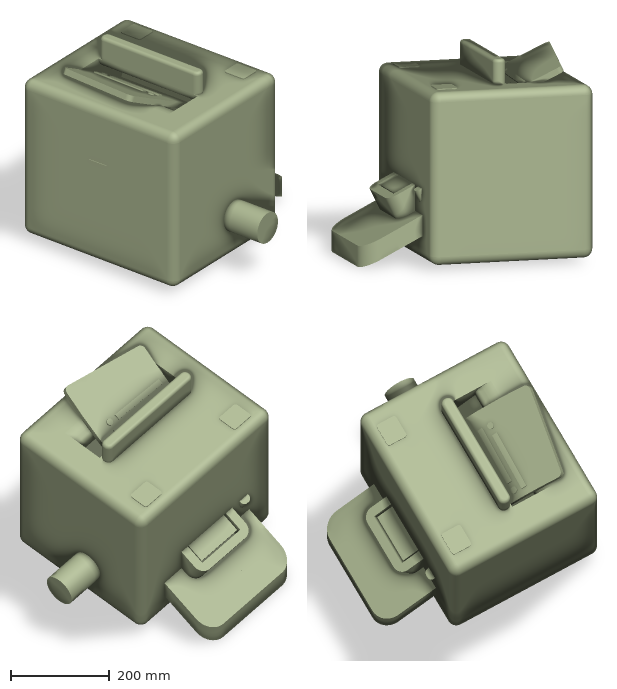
import cadquery as cq
import math


SLOPE_ANGLE = math.atan(0.5)
RISE = math.sin(SLOPE_ANGLE)
RUN = math.cos(SLOPE_ANGLE)

HOUSING_WIDTH = 394.0
HOUSING_DEPTH = 343.0
HOUSING_HEIGHT = 355.5
HOUSING_ROUND = 18.5

OPENING_WIDTH = 254.5
PLATE_THICKNESS = 25.5
PLATE_CENTER_Y = 6.5
PLATE_RISE = 51.0
PLATE_END_ROUND = 12.0
PLATE_TOP_ROUND = 6.5
FOOT_ROUND = 22.0

SLOPE_START_Y = -89.0
LIP_FRONT_Y = -100.2
LIP_INNER_Y = -64.0
LIP_INNER_ROUND = 12.5
SLOT_FLOOR_DROP = 24
SLOT_END_Y = 57.5

CARD_THICKNESS = 13.0
CARD_CORNER_ROUND = 11.5
CARD_FRONT_LEFT = (-128.0, -43)
CARD_FRONT_RIGHT = (71.5, -80.5)
CARD_MIDDLE_LEFT = (-119.0, 21.5)
CARD_MIDDLE_RIGHT = (85.5, 21.5)
CARD_REAR_LEFT = (-111.0, 112.0)
CARD_REAR_RIGHT = (91, 112.0)
CARD_RELIEF = 3.0
STRIPE_LENGTH = 127.5
STRIPE_HEIGHT = 12.0
STRIPE_SKEW = 4.0
STRIPE_STARTS = [(-76.0, 66.0), (-101.5, 44.5)]
DOT_DIAMETER = 14.0
DOT_CENTERS = [(-94.0, 60.5), (45.0, 33.0)]

TRAY_OVERHANG = 125.5
TRAY_THICKNESS = 39.0
TRAY_END_TOP_Z = 31.5
TRAY_CORNER_ROUND = 39.5
TRAY_LENGTH = 278

STRIP_WIDTH = 44.5
STRIP_THICKNESS = 32.0
STRIP_PROTRUSION = 0.5

FRAME_SIZE = 152.5
FRAME_HEIGHT = 48.5
FRAME_ROUND = 23.0
FRAME_DISTANCE = 101.0
FRAME_WALL = 19
POCKET_DEPTH = 31.0
BLOCK_GAP = 4.0
BLOCK_RECESS = 4.0
STUD_WIDTH = 25.5
STUD_LENGTH = 57.5
STUD_ROUND = 10.5
STUD_CENTER_X = -111.0
STUD_DISTANCE = 151.5

KNOB_DIAMETER = 68.0
KNOB_LENGTH = 86.0
KNOB_CENTER_Y = 25.0
KNOB_CENTER_Z = 90.0

BUTTON_WIDTH = 51.0
BUTTON_DEPTH = 44.5
BUTTON_HEIGHT = 2.5
BUTTON_ROUND = 5.8
BUTTON_OFFSET_X = 133.5
BUTTON_CENTER_Y = 127.0

FRONT_Y = -HOUSING_DEPTH / 2
PLATE_FRONT_Y = PLATE_CENTER_Y - PLATE_THICKNESS / 2
PLATE_REAR_Y = PLATE_CENTER_Y + PLATE_THICKNESS / 2
CEILING_START_Y = PLATE_FRONT_Y + FOOT_ROUND * (1 - RISE)
CEILING_START_Z = HOUSING_HEIGHT - FOOT_ROUND * RUN
TRAY_END_Y = HOUSING_DEPTH / 2 + TRAY_OVERHANG


def slope_height(y, start_y, start_z):
    """Height at y of a sloping plane that passes through (start_y, start_z)."""
    return start_z - (y - start_y) * math.tan(SLOPE_ANGLE)


def slope_plane(y, z):
    """Workplane on the slope: local x is X, local y points down the slope to the rear."""
    return cq.Workplane(cq.Plane(origin=(0, y, z), xDir=(1, 0, 0), normal=(0, RISE, RUN)))


def side_profile(width):
    """Workplane for a (Y, Z) outline to be extruded by the given width, centred on X = 0."""
    return cq.Workplane("YZ", origin=(-width / 2, 0, 0))


def foot_round_middle():
    """Middle point of the arc that rounds the lower front edge of the plate's foot."""
    half_turn = (math.pi / 2 - SLOPE_ANGLE) / 2
    return (
        PLATE_FRONT_Y + FOOT_ROUND * (1 - math.cos(half_turn)),
        HOUSING_HEIGHT - FOOT_ROUND * math.sin(half_turn),
    )


def make_plate():
    foot_bottom_z = slope_height(PLATE_REAR_Y, CEILING_START_Y, CEILING_START_Z)
    foot = (
        side_profile(OPENING_WIDTH)
        .moveTo(PLATE_FRONT_Y, HOUSING_HEIGHT)
        .threePointArc(foot_round_middle(), (CEILING_START_Y, CEILING_START_Z))
        .lineTo(PLATE_REAR_Y, foot_bottom_z)
        .lineTo(PLATE_REAR_Y, HOUSING_HEIGHT)
        .close()
        .extrude(OPENING_WIDTH)
    )
    blade = (
        cq.Workplane("XY", origin=(0, PLATE_CENTER_Y, HOUSING_HEIGHT))
        .rect(OPENING_WIDTH, PLATE_THICKNESS)
        .extrude(PLATE_RISE)
        .edges("|Z")
        .fillet(PLATE_END_ROUND)
        .faces(">Z")
        .edges()
        .fillet(PLATE_TOP_ROUND)
    )
    return foot.union(blade)


def make_card():
    body = (
        slope_plane(SLOPE_START_Y, HOUSING_HEIGHT)
        .moveTo(*CARD_FRONT_LEFT)
        .lineTo(*CARD_FRONT_RIGHT)
        .threePointArc(CARD_MIDDLE_RIGHT, CARD_REAR_RIGHT)
        .lineTo(*CARD_REAR_LEFT)
        .threePointArc(CARD_MIDDLE_LEFT, CARD_FRONT_LEFT)
        .close()
        .extrude(CARD_THICKNESS)
        .edges(cq.selectors.ParallelDirSelector(cq.Vector(0, RISE, RUN)))
        .fillet(CARD_CORNER_ROUND)
    )
    top = slope_plane(SLOPE_START_Y, HOUSING_HEIGHT).workplane(offset=CARD_THICKNESS)
    for x, y in STRIPE_STARTS:
        corners = [
            (x, y),
            (x + STRIPE_LENGTH, y - STRIPE_SKEW),
            (x + STRIPE_LENGTH, y - STRIPE_SKEW - STRIPE_HEIGHT),
            (x, y - STRIPE_HEIGHT),
        ]
        body = body.union(top.polyline(corners).close().extrude(CARD_RELIEF))
    dots = top.pushPoints(DOT_CENTERS).circle(DOT_DIAMETER / 2).extrude(CARD_RELIEF)
    return body.union(dots)


def make_tray_slab():
    """Sloping slab with an upright, round-cornered rear end and a square inner end."""
    inner_top_y = TRAY_END_Y - TRAY_LENGTH * RUN
    inner_top_z = TRAY_END_TOP_Z + TRAY_LENGTH * RISE
    outline = [
        (TRAY_END_Y, TRAY_END_TOP_Z),
        (inner_top_y, inner_top_z),
        (inner_top_y - TRAY_THICKNESS * RISE, inner_top_z - TRAY_THICKNESS * RUN),
        (TRAY_END_Y, TRAY_END_TOP_Z - TRAY_THICKNESS / RUN),
    ]
    return (
        side_profile(OPENING_WIDTH)
        .polyline(outline)
        .close()
        .extrude(OPENING_WIDTH)
        .edges("|Z")
        .fillet(TRAY_CORNER_ROUND)
    )


def make_strip():
    end_bottom_y = FRONT_Y - STRIP_PROTRUSION
    rear_bottom_z = TRAY_END_TOP_Z - STRIP_THICKNESS / RUN
    end_bottom_z = slope_height(end_bottom_y, TRAY_END_Y, rear_bottom_z)
    outline = [
        (TRAY_END_Y, TRAY_END_TOP_Z),
        (end_bottom_y + STRIP_THICKNESS * RISE, end_bottom_z + STRIP_THICKNESS * RUN),
        (end_bottom_y, end_bottom_z),
        (TRAY_END_Y, rear_bottom_z),
    ]
    return side_profile(STRIP_WIDTH).polyline(outline).close().extrude(STRIP_WIDTH)


def upright_on_tray(center_x, distance, width, length, height, corner_round):
    """Round-cornered box on the tray, its rear side at a distance up the slope from the tray's end."""
    return (
        slope_plane(TRAY_END_Y, TRAY_END_TOP_Z)
        .center(center_x, -distance - length / 2)
        .rect(width, length)
        .extrude(height)
        .edges(cq.selectors.ParallelDirSelector(cq.Vector(0, RISE, RUN)))
        .fillet(corner_round)
    )


def make_tray_envelope():
    """Tray with its frame and stud, before the pocket and the strip's channel are cut."""
    frame = upright_on_tray(0, FRAME_DISTANCE, FRAME_SIZE, FRAME_SIZE, FRAME_HEIGHT, FRAME_ROUND)
    stud = upright_on_tray(
        STUD_CENTER_X, STUD_DISTANCE, STUD_WIDTH, STUD_LENGTH, FRAME_HEIGHT, STUD_ROUND
    )
    return make_tray_slab().union(frame).union(stud)


def make_tray(envelope, strip):
    pocket_size = FRAME_SIZE - 2 * FRAME_WALL
    block_size = pocket_size - 2 * BLOCK_GAP
    pocket_floor = (
        slope_plane(TRAY_END_Y, TRAY_END_TOP_Z)
        .center(0, -FRAME_DISTANCE - FRAME_SIZE / 2)
        .workplane(offset=FRAME_HEIGHT - POCKET_DEPTH)
    )
    pocket = pocket_floor.rect(pocket_size, pocket_size).extrude(POCKET_DEPTH)
    block = pocket_floor.rect(block_size, block_size).extrude(POCKET_DEPTH - BLOCK_RECESS)
    return envelope.cut(pocket).union(block).cut(strip)


def make_card_slot():
    """Sloping slot that enters the top over a rounded lip and takes in the plate's foot."""
    lip_tangent = SLOPE_START_Y - LIP_FRONT_Y
    lip_radius = lip_tangent / math.tan(SLOPE_ANGLE / 2)
    lip_middle = (
        LIP_FRONT_Y + lip_radius * math.sin(SLOPE_ANGLE / 2),
        HOUSING_HEIGHT - lip_radius * (1 - math.cos(SLOPE_ANGLE / 2)),
    )
    lip_end = (SLOPE_START_Y + lip_tangent * RUN, HOUSING_HEIGHT - lip_tangent * RISE)

    inner_start_y = LIP_INNER_Y - LIP_INNER_ROUND * (1 - RISE)
    inner_start_z = slope_height(inner_start_y, SLOPE_START_Y, HOUSING_HEIGHT)
    inner_center_y = LIP_INNER_Y - LIP_INNER_ROUND
    inner_center_z = inner_start_z - LIP_INNER_ROUND * RUN
    middle_angle = (math.pi / 2 - SLOPE_ANGLE) / 2
    inner_middle = (
        inner_center_y + LIP_INNER_ROUND * math.cos(middle_angle),
        inner_center_z + LIP_INNER_ROUND * math.sin(middle_angle),
    )

    floor_start_z = HOUSING_HEIGHT - SLOT_FLOOR_DROP
    end_bottom = (SLOT_END_Y, slope_height(SLOT_END_Y, SLOPE_START_Y, floor_start_z))
    ceiling_end_z = slope_height(SLOT_END_Y, CEILING_START_Y, CEILING_START_Z)
    slot_height = (ceiling_end_z - end_bottom[1]) * RUN
    end_top = (SLOT_END_Y + slot_height * RISE, end_bottom[1] + slot_height * RUN)

    return (
        side_profile(OPENING_WIDTH)
        .moveTo(LIP_FRONT_Y, HOUSING_HEIGHT)
        .threePointArc(lip_middle, lip_end)
        .lineTo(inner_start_y, inner_start_z)
        .threePointArc(inner_middle, (LIP_INNER_Y, inner_center_z))
        .lineTo(LIP_INNER_Y, slope_height(LIP_INNER_Y, SLOPE_START_Y, floor_start_z))
        .lineTo(*end_bottom)
        .lineTo(*end_top)
        .lineTo(PLATE_REAR_Y, slope_height(PLATE_REAR_Y, CEILING_START_Y, CEILING_START_Z))
        .lineTo(PLATE_REAR_Y, HOUSING_HEIGHT)
        .close()
        .extrude(OPENING_WIDTH)
    )


def make_housing(tray_envelope, strip):
    block = (
        cq.Workplane("XY")
        .box(HOUSING_WIDTH, HOUSING_DEPTH, HOUSING_HEIGHT, centered=(True, True, False))
        .edges()
        .fillet(HOUSING_ROUND)
    )
    return block.cut(make_card_slot()).cut(tray_envelope).cut(strip)


def make_knob():
    return (
        cq.Workplane("YZ", origin=(HOUSING_WIDTH / 2, KNOB_CENTER_Y, KNOB_CENTER_Z))
        .circle(KNOB_DIAMETER / 2)
        .extrude(KNOB_LENGTH)
    )


def make_button(center_x):
    return (
        cq.Workplane("XY", origin=(center_x, BUTTON_CENTER_Y, HOUSING_HEIGHT))
        .rect(BUTTON_WIDTH, BUTTON_DEPTH)
        .extrude(BUTTON_HEIGHT)
        .edges("|Z")
        .fillet(BUTTON_ROUND)
    )


strip = make_strip()
tray_envelope = make_tray_envelope()
tray = make_tray(tray_envelope, strip)
housing = make_housing(tray_envelope, strip)
plate = make_plate()
card = make_card()
knob = make_knob()
buttons = [make_button(side * BUTTON_OFFSET_X) for side in (-1, 1)]

result = cq.Compound.makeCompound(
    [
        housing.val(),
        tray.val(),
        strip.val(),
        plate.val(),
        card.val(),
        knob.val(),
        *[button.val() for button in buttons],
    ]
)